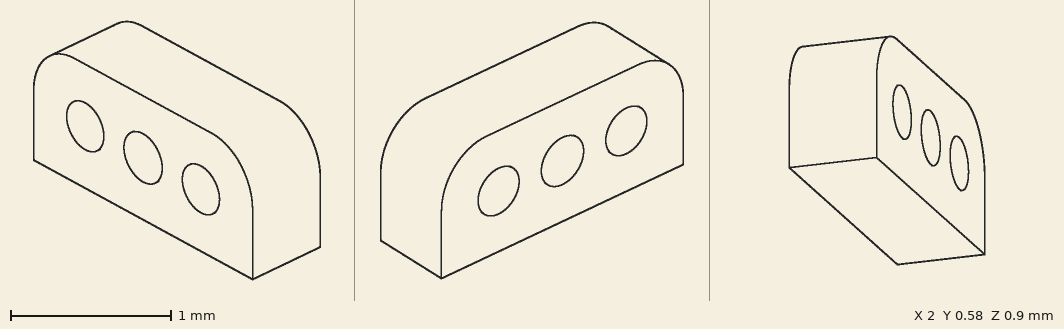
import cadquery as cq

length = 2.0
depth = 0.58
height = 0.9

corner_width = 0.37
corner_height = 0.395

center_hole_diameter = 0.35
side_hole_diameter = 0.34
hole_spacing = 0.528

half_length = length / 2
shoulder_z = height - corner_height
flat_half_length = half_length - corner_width


def rounded_block():
    """Block with two elliptical upper corners, centred on X and Y, base at Z = 0."""
    return (
        cq.Workplane("XZ", origin=(0, depth / 2, 0))
        .moveTo(-half_length, 0)
        .lineTo(half_length, 0)
        .lineTo(half_length, shoulder_z)
        .ellipseArc(corner_width, corner_height, 0, 90, startAtCurrent=True)
        .lineTo(-flat_half_length, height)
        .ellipseArc(corner_width, corner_height, 90, 180, startAtCurrent=True)
        .close()
        .extrude(depth)
    )


def through_hole(x, diameter):
    """Cylinder along Y that cuts one hole through the block."""
    return (
        cq.Workplane("XZ", origin=(x, depth / 2, height / 2))
        .circle(diameter / 2)
        .extrude(depth)
    )


result = rounded_block().cut(through_hole(0, center_hole_diameter))
for side in (-1, 1):
    result = result.cut(through_hole(side * hole_spacing, side_hole_diameter))